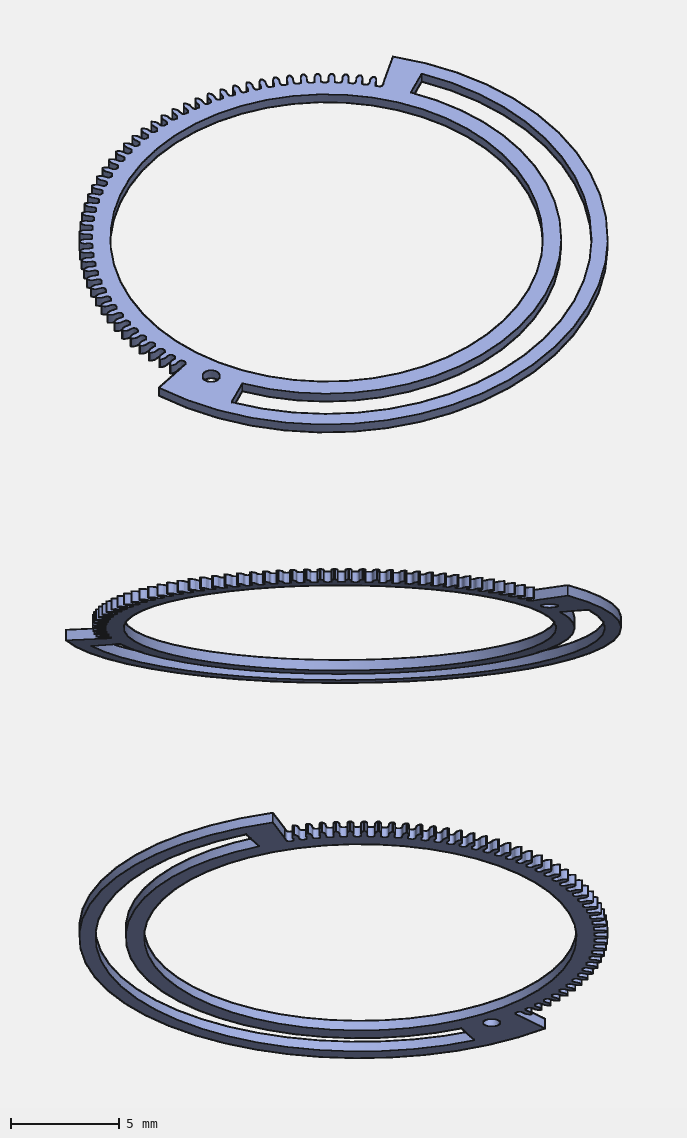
import cadquery as cq
import math

THICKNESS = 0.5
BORE_RADIUS = 10.0
OUTER_RADIUS = 13.0
CUT_MARGIN = 1.0

SLOT_INNER_RADIUS = 10.85
SLOT_OUTER_RADIUS = 12.25

PIN_HOLE_DIAMETER = 0.8
PIN_HOLE_RADIUS = 11.0
PIN_HOLE_ANGLE = 262.0

TOOTH_COUNT = 47
FULL_GEAR_TEETH = 109
TOOTH_PITCH = 360 / FULL_GEAR_TEETH
SECTOR_MIDDLE = 175.9
ROOT_RADIUS = 10.83
TIP_RADIUS = 11.44
WAIST_RADIUS = 11.08
SHOULDER_RADIUS = 11.2
WAIST_HALF_WIDTH = 0.14
SHOULDER_HALF_WIDTH = 0.15
TIP_HALF_WIDTH = 0.03
CROWN_BULGE = 0.02
ROOT_FILLET = 0.14
ROOT_OVERLAP = 0.05

END_TOOTH_OFFSET = (TOOTH_COUNT + 1) / 2 * TOOTH_PITCH
SHOULDER_ANGLE = math.degrees(math.asin(SHOULDER_HALF_WIDTH / SHOULDER_RADIUS))
WALL_OFFSET = END_TOOTH_OFFSET - SHOULDER_ANGLE


def polar(radius, angle):
    """Point at a radius and an angle in degrees."""
    return (radius * math.cos(math.radians(angle)), radius * math.sin(math.radians(angle)))


def ring_sector(inner, outer, middle, half_span):
    """Plate-thick sector of a ring with radial ends."""
    start = middle - half_span
    end = middle + half_span
    return (
        cq.Workplane("XY")
        .moveTo(*polar(inner, start))
        .lineTo(*polar(outer, start))
        .threePointArc(polar(outer, middle), polar(outer, end))
        .lineTo(*polar(inner, end))
        .threePointArc(polar(inner, middle), polar(inner, start))
        .close()
        .extrude(THICKNESS)
    )


def make_tooth():
    """One tooth along +X, with concave root fillets and a crowned tip."""
    foot_half_width = WAIST_HALF_WIDTH + ROOT_FILLET
    foot_radius = math.sqrt(ROOT_RADIUS**2 - foot_half_width**2)
    fillet_top = foot_radius + ROOT_FILLET
    fillet_inset = ROOT_FILLET * (1 - math.sqrt(0.5))
    fillet_middle = (foot_radius + fillet_inset, WAIST_HALF_WIDTH + fillet_inset)

    crown_rise = TIP_RADIUS - SHOULDER_RADIUS
    crown_run = SHOULDER_HALF_WIDTH - TIP_HALF_WIDTH
    crown_chord = math.hypot(crown_rise, crown_run)
    crown_middle = (
        (SHOULDER_RADIUS + TIP_RADIUS) / 2 + CROWN_BULGE * crown_run / crown_chord,
        (SHOULDER_HALF_WIDTH + TIP_HALF_WIDTH) / 2 + CROWN_BULGE * crown_rise / crown_chord,
    )

    half = (
        cq.Workplane("XY")
        .moveTo(ROOT_RADIUS - ROOT_OVERLAP, 0)
        .lineTo(ROOT_RADIUS - ROOT_OVERLAP, foot_half_width)
        .lineTo(foot_radius, foot_half_width)
        .threePointArc(fillet_middle, (fillet_top, WAIST_HALF_WIDTH))
        .lineTo(WAIST_RADIUS, WAIST_HALF_WIDTH)
        .lineTo(SHOULDER_RADIUS, SHOULDER_HALF_WIDTH)
        .threePointArc(crown_middle, (TIP_RADIUS, TIP_HALF_WIDTH))
        .lineTo(TIP_RADIUS, 0)
        .close()
        .extrude(THICKNESS)
    )
    return half.union(half.mirror("XZ")).clean()


def make_blank():
    """Flat ring with the gear sector cleared down to the root circle."""
    blank = cq.Workplane("XY").circle(OUTER_RADIUS).circle(BORE_RADIUS).extrude(THICKNESS)
    beyond_rim = OUTER_RADIUS + CUT_MARGIN
    between_walls = ring_sector(ROOT_RADIUS, beyond_rim, SECTOR_MIDDLE, WALL_OFFSET)
    below_shoulders = ring_sector(ROOT_RADIUS, SHOULDER_RADIUS, SECTOR_MIDDLE, END_TOOTH_OFFSET)
    return blank.cut(between_walls).cut(below_shoulders)


def add_teeth(body):
    """Free teeth, plus one at each end that merges into its lug."""
    tooth = make_tooth().val()
    first_angle = SECTOR_MIDDLE - END_TOOTH_OFFSET
    teeth = []
    for index in range(TOOTH_COUNT + 2):
        angle = first_angle + index * TOOTH_PITCH
        teeth.append(tooth.rotate(cq.Vector(0, 0, 0), cq.Vector(0, 0, 1), angle))
    return cq.Workplane(body.val().fuse(*teeth).clean())


def cut_slot(body):
    """Half-ring window through the +X side."""
    return body.cut(ring_sector(SLOT_INNER_RADIUS, SLOT_OUTER_RADIUS, 0, 90))


def cut_pin_hole(body):
    """Round through hole in the lower lug."""
    hole = (
        cq.Workplane("XY")
        .center(*polar(PIN_HOLE_RADIUS, PIN_HOLE_ANGLE))
        .circle(PIN_HOLE_DIAMETER / 2)
        .extrude(THICKNESS)
    )
    return body.cut(hole)


result = cut_pin_hole(cut_slot(add_teeth(make_blank())))